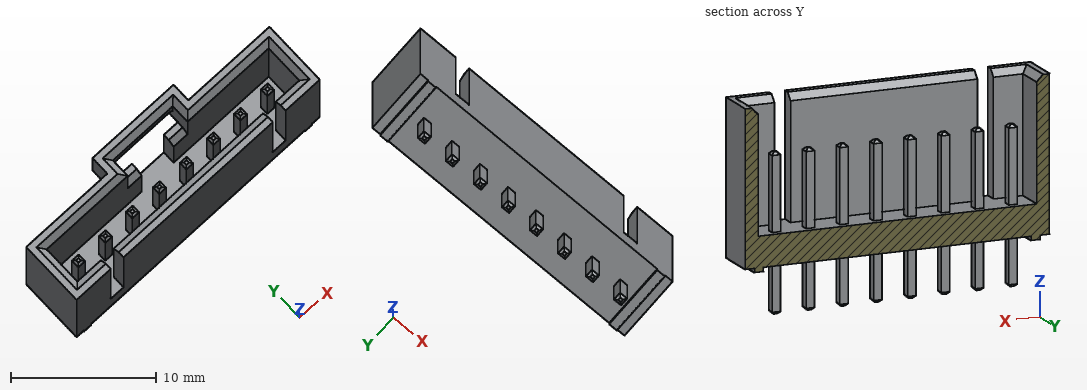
import cadquery as cq


housing_length = 22.87
housing_depth = 5.1
housing_height = 11.5
wall = 1.0
floor_thickness = 2.3
rim_chamfer = 0.5

front_y = -housing_depth / 2
back_y = housing_depth / 2
inner_front_y = front_y + wall
inner_back_y = back_y - wall

pin_count = 8
pin_pitch = 2.54
pin_width = 0.64
pin_tip_height = 0.2
pin_tip_width = pin_width - 2 * pin_tip_height
pin_top_z = 8.0
pin_bottom_z = -3.6

latch_projection = 1.5
latch_outer_width = 3 * pin_pitch
latch_inner_width = latch_outer_width - 2 * wall
latch_height = 3.8
latch_bottom_z = housing_height - latch_height
latch_back_y = back_y + latch_projection
latch_inner_back_y = latch_back_y - wall

window_top_z = 10.0
window_corner_radius = 0.5

back_slot_width = 3.0
front_slot_width = 1.2
front_slot_x = 3 * pin_pitch

foot_width = 0.7
foot_height = 0.3
foot_inset = 0.7


def box_between(x_min, x_max, y_min, y_max, z_min, z_max):
    """Axis-aligned box given by its limits."""
    size = (x_max - x_min, y_max - y_min, z_max - z_min)
    return cq.Workplane("XY").box(*size, centered=False).translate((x_min, y_min, z_min))


def centered_box(x_center, width, y_min, y_max, z_min, z_max):
    """Box given by its limits in Y and Z and centered on x_center in X."""
    return box_between(x_center - width / 2, x_center + width / 2, y_min, y_max, z_min, z_max)


def lead_in(width, y_min, y_max, top_z):
    """Tapered mouth that chamfers the upper edges of a rectangular opening."""
    return (
        cq.Workplane("XY", origin=(0, (y_min + y_max) / 2, top_z))
        .rect(width + 2 * rim_chamfer, y_max - y_min + 2 * rim_chamfer)
        .workplane(offset=-rim_chamfer)
        .rect(width, y_max - y_min)
        .loft(ruled=True)
    )


def outer_block():
    """Solid housing with the latch pocket block on its back."""
    body = centered_box(0, housing_length, front_y, back_y, 0, housing_height)
    latch = centered_box(0, latch_outer_width, inner_back_y, latch_back_y, latch_bottom_z, housing_height)
    return body.union(latch)


def cavity():
    """Main cavity and latch pocket, both with chamfered mouths."""
    inner_length = housing_length - 2 * wall
    main = centered_box(0, inner_length, inner_front_y, inner_back_y, floor_thickness, housing_height)
    latch = centered_box(0, latch_inner_width, inner_front_y, latch_inner_back_y, latch_bottom_z, housing_height)
    return (
        main.union(latch)
        .union(lead_in(inner_length, inner_front_y, inner_back_y, housing_height))
        .union(lead_in(latch_inner_width, inner_front_y, latch_inner_back_y, housing_height))
    )


def sill_chamfer():
    """Chamfer on the inner top edge of the back wall below the latch pocket."""
    return (
        cq.Workplane("YZ", origin=(-latch_inner_width / 2, 0, 0))
        .moveTo(inner_back_y, latch_bottom_z)
        .lineTo(inner_back_y + rim_chamfer, latch_bottom_z)
        .lineTo(inner_back_y, latch_bottom_z - rim_chamfer)
        .close()
        .extrude(latch_inner_width)
    )


def latch_window():
    """Opening through the lower part of the latch pocket's back wall."""
    opening = centered_box(0, latch_inner_width, inner_back_y, latch_back_y, latch_bottom_z, window_top_z)
    return opening.edges("|Y and >Z").fillet(window_corner_radius)


def slots():
    """Two slots in the front wall and one in the back wall, all down to the floor."""
    cuts = centered_box(0, back_slot_width, inner_back_y, back_y, floor_thickness, latch_bottom_z)
    for x in (-front_slot_x, front_slot_x):
        cuts = cuts.union(
            centered_box(x, front_slot_width, front_y, inner_front_y, floor_thickness, housing_height)
        )
    return cuts


def feet():
    """Low ribs across the underside near both ends."""
    foot_x = housing_length / 2 - foot_inset - foot_width / 2
    left = centered_box(-foot_x, foot_width, front_y, back_y, -foot_height, 0)
    right = centered_box(foot_x, foot_width, front_y, back_y, -foot_height, 0)
    return left.union(right)


def pin_tip(base_z, height):
    """Truncated pyramid; a negative height points it downward."""
    return (
        cq.Workplane("XY", origin=(0, 0, base_z))
        .rect(pin_width, pin_width)
        .workplane(offset=height)
        .rect(pin_tip_width, pin_tip_width)
        .loft(ruled=True)
    )


def pin():
    """Square pin with both ends tapered."""
    shank_bottom_z = pin_bottom_z + pin_tip_height
    shank_top_z = pin_top_z - pin_tip_height
    shank = centered_box(0, pin_width, -pin_width / 2, pin_width / 2, shank_bottom_z, shank_top_z)
    return (
        shank.union(pin_tip(shank_top_z, pin_tip_height))
        .union(pin_tip(shank_bottom_z, -pin_tip_height))
    )


housing = (
    outer_block()
    .cut(cavity())
    .cut(sill_chamfer())
    .cut(latch_window())
    .cut(slots())
    .union(feet())
)

result = housing
first_pin_x = -(pin_count - 1) * pin_pitch / 2
for index in range(pin_count):
    result = result.union(pin().translate((first_pin_x + index * pin_pitch, 0, 0)))